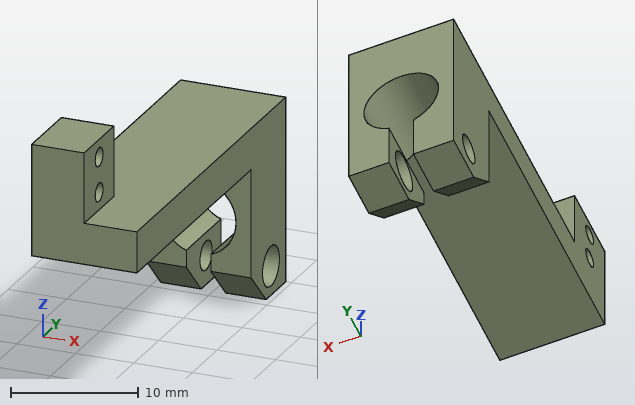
import cadquery as cq

width = 9.0
length = 30.0
height = 21.75

tab_width = width / 2
tab_length = 6.0
tab_height = 6.0
pin_hole_diameter = 1.55
pin_hole_depths = (1.5, 4.5)

arm_thickness = 3.5
leg_thickness = 7.0
leg_chamfer = 3.0

bore_diameter = 6.4
bore_height = 7.47
slot_width = 2.1
screw_hole_diameter = 2.45
wide_screw_hole_diameter = 3.4
screw_from_back = 3.0
screw_height = 2.5

arm_top = height - tab_height
arm_bottom = arm_top - arm_thickness
leg_front = length - leg_thickness


def cross_hole(y, z, diameter, start_x=0):
    """Cylinder along X from start_x to the +X side."""
    plane = cq.Workplane("YZ", origin=(start_x, y, z))
    return plane.circle(diameter / 2).extrude(width - start_x)


body = (
    cq.Workplane("YZ")
    .moveTo(0, arm_bottom)
    .lineTo(leg_front, arm_bottom)
    .lineTo(leg_front, leg_chamfer)
    .lineTo(leg_front + leg_chamfer, 0)
    .lineTo(length, 0)
    .lineTo(length, arm_top)
    .lineTo(0, arm_top)
    .close()
    .extrude(width)
)

tab = cq.Workplane("XY").box(tab_width, tab_length, height - arm_bottom, centered=False)
body = body.union(tab.translate((0, 0, arm_bottom)))

bore = (
    cq.Workplane("XZ")
    .center(width / 2, bore_height)
    .circle(bore_diameter / 2)
    .extrude(-length)
)
slot = (
    cq.Workplane("XY")
    .box(slot_width, length, bore_height, centered=(True, False, False))
    .translate((width / 2, 0, 0))
)
body = body.cut(bore).cut(slot)

screw_y = length - screw_from_back
wide_hole = cross_hole(screw_y, screw_height, wide_screw_hole_diameter, start_x=width / 2)
body = body.cut(cross_hole(screw_y, screw_height, screw_hole_diameter)).cut(wide_hole)

for depth in pin_hole_depths:
    body = body.cut(cross_hole(tab_length / 2, height - depth, pin_hole_diameter))

result = body